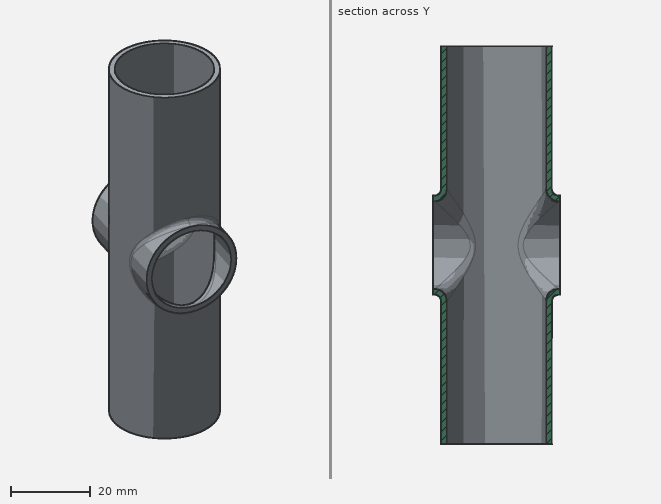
import cadquery as cq

tube_length = 100.0
tube_diameter = 28.0
tube_bore = 25.0

branch_length = 32.0
branch_diameter = 25.0
branch_bore = 22.0

outer_joint_radius = 1.5
wall_thickness = (tube_diameter - tube_bore) / 2
inner_joint_radius = outer_joint_radius + wall_thickness


def rod_along(plane, diameter, length):
    """Solid rod centred on the origin, along the normal of the plane."""
    return cq.Workplane(plane).circle(diameter / 2).extrude(length / 2, both=True)


def joint_edges(body):
    """Edges where the crossing cylinders meet: neither circles nor lines."""
    return body.edges("not %CIRCLE").edges("not %LINE")


outside = rod_along("XY", tube_diameter, tube_length).union(
    rod_along("YZ", branch_diameter, branch_length)
)
outside = joint_edges(outside).fillet(outer_joint_radius)

inside = rod_along("XY", tube_bore, tube_length).union(
    rod_along("YZ", branch_bore, branch_length)
)
inside = joint_edges(inside).fillet(inner_joint_radius)

result = outside.cut(inside)